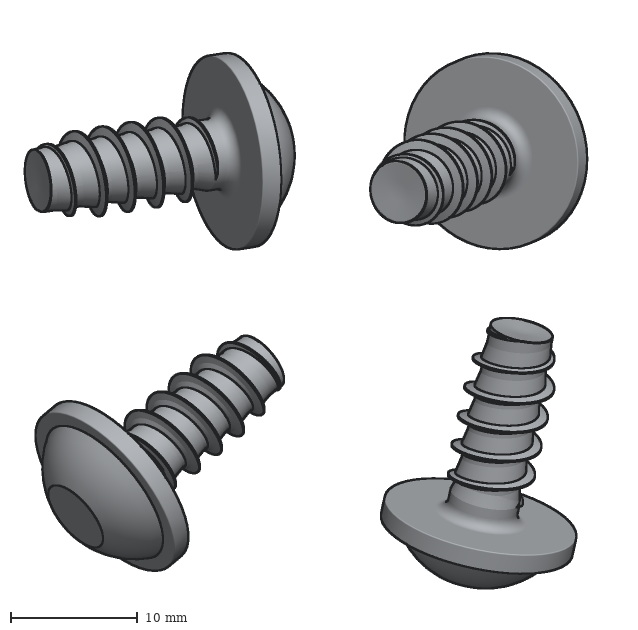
import cadquery as cq
import math


head_height = 4.9
flange_diameter = 15.5
flange_thickness = 1.63
flange_edge_radius = 0.1
dome_base_radius = 6.47
dome_top_radius = 3.04
buried_overlap = 0.8

shank_length = 16.0
collar_radius = 2.8
collar_end = 1.74
neck_fillet = 0.9
core_radius = 2.5
collar_taper_length = 1.05
tip_chamfer = 0.05
tip_recess_radius = 2.31
tip_recess_depth = 0.2

thread_radius = 3.5
pitch = 2.48
crest_half_width = 0.06
kink_radius = 2.88
kink_offset = -0.26
upper_root_radius = 2.4
upper_root_offset = -0.6
lower_root_radius = 2.74
lower_root_offset = 0.27
root_end_radius = 2.45
root_end_offset = 1.79
buried_radius = 1.4

full_thread_distance = 4.23
lead_in_start = -1.25
full_thread_start = 0.0
full_thread_end = 3.25
run_out_end = 4.75
lead_in_drop = 0.59
run_out_drop = 1.0
root_run_out_drop = 0.22
root_narrowing = 0.15
points_per_turn = 24


def head():
    dome_height = head_height - flange_thickness
    centre_depth = (dome_base_radius**2 - dome_top_radius**2 + dome_height**2) / (2 * dome_height)
    sphere_radius = math.hypot(dome_top_radius, centre_depth)
    middle_radius = (dome_base_radius + dome_top_radius) / 2
    middle_height = head_height - centre_depth + math.sqrt(sphere_radius**2 - middle_radius**2)

    flange = (
        cq.Workplane("XZ")
        .circle(flange_diameter / 2)
        .extrude(-flange_thickness)
        .edges()
        .fillet(flange_edge_radius)
    )
    dome = (
        cq.Workplane("XY")
        .moveTo(0, 0)
        .lineTo(0, head_height)
        .lineTo(dome_top_radius, head_height)
        .threePointArc((middle_radius, middle_height), (dome_base_radius, flange_thickness))
        .lineTo(dome_base_radius, flange_thickness - buried_overlap)
        .lineTo(0, flange_thickness - buried_overlap)
        .close()
        .revolve(360, (0, 0, 0), (0, 1, 0))
    )
    return flange.union(dome)


def shank():
    diagonal = neck_fillet * math.sqrt(0.5)
    fillet_centre = (collar_radius + neck_fillet, -neck_fillet)
    fillet_middle = (fillet_centre[0] - diagonal, fillet_centre[1] + diagonal)
    return (
        cq.Workplane("XY")
        .moveTo(0, buried_overlap)
        .lineTo(fillet_centre[0], buried_overlap)
        .lineTo(fillet_centre[0], 0)
        .threePointArc(fillet_middle, (collar_radius, -neck_fillet))
        .lineTo(collar_radius, -collar_end)
        .lineTo(core_radius, -collar_end - collar_taper_length)
        .lineTo(core_radius, -shank_length + tip_chamfer)
        .lineTo(core_radius - tip_chamfer, -shank_length)
        .lineTo(0, -shank_length)
        .close()
        .revolve(360, (0, 0, 0), (0, 1, 0))
    )


def thread_profile(crest_drop, root_drop):
    """Corners (radius, axial offset) of the thread body when it is sunk into the core."""
    return [
        (buried_radius, upper_root_offset),
        (upper_root_radius - crest_drop, upper_root_offset),
        (kink_radius - crest_drop, kink_offset),
        (thread_radius - crest_drop, -crest_half_width),
        (thread_radius - crest_drop, crest_half_width),
        (lower_root_radius - root_drop, lower_root_offset - root_narrowing * crest_drop),
        (root_end_radius, root_end_offset),
        (buried_radius, root_end_offset),
    ]


def thread_point(turn, corner):
    radius, offset = corner
    angle = 2 * math.pi * turn
    y = -full_thread_distance - pitch * turn - offset
    return cq.Vector(radius * math.cos(angle), y, radius * math.sin(angle))


def helix(start_turn, end_turn, start_corner, end_corner):
    """Helical edge that moves evenly from one profile corner to another."""
    steps = math.ceil((end_turn - start_turn) * points_per_turn)
    points = []
    for step in range(steps + 1):
        part = step / steps
        turn = start_turn + part * (end_turn - start_turn)
        corner = [start + part * (end - start) for start, end in zip(start_corner, end_corner)]
        points.append(thread_point(turn, corner))
    return cq.Edge.makeSpline(points)


def thread_end(turn, profile):
    corners = [thread_point(turn, corner) for corner in profile]
    return cq.Face.makeFromWires(cq.Wire.makePolygon(corners, close=True))


def thread():
    full = thread_profile(0, 0)
    lead_in = thread_profile(lead_in_drop, 0)
    run_out = thread_profile(run_out_drop, root_run_out_drop)
    sections = [
        (lead_in_start, full_thread_start, lead_in, full),
        (full_thread_start, full_thread_end, full, full),
        (full_thread_end, run_out_end, full, run_out),
    ]
    faces = [thread_end(lead_in_start, lead_in), thread_end(run_out_end, run_out)]
    for start_turn, end_turn, start_profile, end_profile in sections:
        edges = [
            helix(start_turn, end_turn, start_corner, end_corner)
            for start_corner, end_corner in zip(start_profile, end_profile)
        ]
        for edge, next_edge in zip(edges, edges[1:] + edges[:1]):
            faces.append(cq.Face.makeRuledSurface(edge, next_edge))
    body = cq.Workplane(cq.Solid.makeSolid(cq.Shell.makeShell(faces)))

    limits = (
        cq.Workplane("XZ", origin=(0, -collar_end, 0))
        .circle(2 * thread_radius)
        .extrude(shank_length - collar_end)
    )
    return body.intersect(limits)


def tip_recess():
    return (
        cq.Workplane("XY")
        .moveTo(0, -shank_length)
        .lineTo(tip_recess_radius, -shank_length)
        .lineTo(0, -shank_length + tip_recess_depth)
        .close()
        .revolve(360, (0, 0, 0), (0, 1, 0))
    )


result = head().union(shank()).union(thread()).cut(tip_recess())